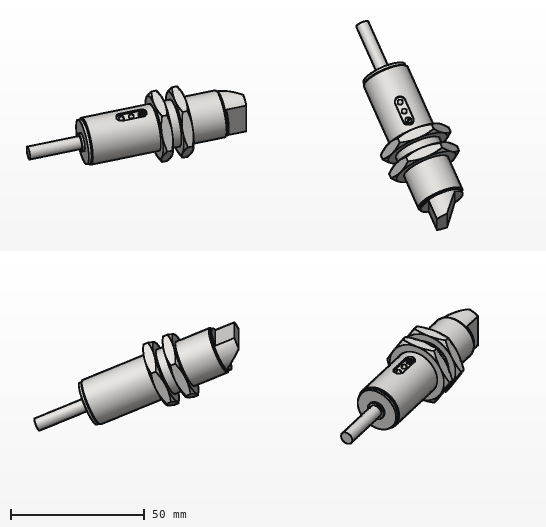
import cadquery as cq
import math

TOTAL_LENGTH = 83.5

BARREL_DIA = 18.0
BARREL_REAR_Y = 22.1
BARREL_FRONT_Y = 74.65
BARREL_REAR_CHAMFER = 0.4
INSERT_DIA = 17.0
GROOVE_DIA = 16.45
GROOVE_WIDTH = 0.5
REAR_INSERT_Y = 21.05

CABLE_DIA = 5.0
COLLAR_DIA = 7.0
COLLAR_REAR_Y = 20.1

HEAD_LEFT_X = -5.2
HEAD_TIP_LEFT_X = 1.1
HEAD_RIGHT_X = 5.2
LEFT_SHOULDER_Y = 76.15
RIGHT_SHOULDER_Y = 75.65

WINDOW_WIDTH = 4.0
WINDOW_FLOOR_Z = 8.0
SCREW_Y = 44.0
LAMP_COUNT = 2
LAMP_SPAN = 7.8
LAMP_PITCH = LAMP_SPAN / LAMP_COUNT
LAMP_DIA = 2.0
SCREW_DIA = 2.4
SCREW_RECESS_DEPTH = 0.1
SCREW_SLOT_DEPTH = 0.25
SCREW_SLOT_WIDTH = 0.4
SCREW_SLOT_ANGLE = 45.0

NUT_CORNERS = 27.7
NUT_FLATS = NUT_CORNERS * math.cos(math.radians(30))
NUT_WIDTH = 4.0
NUT_CHAMFER_ANGLE = 30.0
NUT_REAR_FACES_Y = (49.0, 57.0)


def cylinder_along_y(diameter, start_y, end_y):
    """Cylinder on the Y axis between two stations."""
    return (
        cq.Workplane("XZ", origin=(0, start_y, 0))
        .circle(diameter / 2)
        .extrude(start_y - end_y)
    )


def make_head():
    """Front insert cut to a wedge, standing on two shoulders of different height."""
    radius = INSERT_DIA / 2
    base_y = BARREL_FRONT_Y + GROOVE_WIDTH
    profile = (
        cq.Workplane("XY", origin=(0, 0, -radius))
        .polyline([
            (-radius, base_y),
            (-radius, LEFT_SHOULDER_Y),
            (HEAD_LEFT_X, LEFT_SHOULDER_Y),
            (HEAD_TIP_LEFT_X, TOTAL_LENGTH),
            (HEAD_RIGHT_X, TOTAL_LENGTH),
            (HEAD_RIGHT_X, RIGHT_SHOULDER_Y),
            (radius, RIGHT_SHOULDER_Y),
            (radius, base_y),
        ])
        .close()
        .extrude(INSERT_DIA)
    )
    return profile.intersect(cylinder_along_y(INSERT_DIA, base_y, TOTAL_LENGTH))


def make_window():
    """Rounded slot cut down to the flat window floor."""
    return (
        cq.Workplane("XY", origin=(0, SCREW_Y - LAMP_SPAN / 2, WINDOW_FLOOR_Z))
        .slot2D(LAMP_SPAN + WINDOW_WIDTH, WINDOW_WIDTH, 90)
        .extrude(BARREL_DIA / 2 - WINDOW_FLOOR_Z)
    )


def make_screw_recess():
    """Round recess in the window floor, with the driver slot across the screw at its bottom."""
    screw_z = WINDOW_FLOOR_Z - SCREW_RECESS_DEPTH
    recess = (
        cq.Workplane("XY", origin=(0, SCREW_Y, screw_z))
        .circle(SCREW_DIA / 2)
        .extrude(SCREW_RECESS_DEPTH)
    )
    driver_slot = (
        cq.Workplane("XY", origin=(0, SCREW_Y, screw_z))
        .transformed(rotate=(0, 0, SCREW_SLOT_ANGLE))
        .rect(SCREW_DIA, SCREW_SLOT_WIDTH)
        .extrude(-SCREW_SLOT_DEPTH)
    )
    screw_outline = (
        cq.Workplane("XY", origin=(0, SCREW_Y, screw_z))
        .circle(SCREW_DIA / 2)
        .extrude(-SCREW_SLOT_DEPTH)
    )
    return recess.union(driver_slot.intersect(screw_outline))


def make_sensor():
    """Barrel, inserts, head and cable as one solid."""
    barrel = (
        cylinder_along_y(BARREL_DIA, BARREL_REAR_Y, BARREL_FRONT_Y)
        .faces("<Y")
        .chamfer(BARREL_REAR_CHAMFER)
    )
    front_groove_end = BARREL_FRONT_Y + GROOVE_WIDTH
    sensor = (
        barrel
        .union(cylinder_along_y(GROOVE_DIA, BARREL_FRONT_Y, front_groove_end))
        .union(make_head())
        .union(cylinder_along_y(INSERT_DIA, REAR_INSERT_Y, BARREL_REAR_Y))
        .union(cylinder_along_y(COLLAR_DIA, COLLAR_REAR_Y, REAR_INSERT_Y))
        .union(cylinder_along_y(CABLE_DIA, 0, COLLAR_REAR_Y))
        .cut(make_window())
        .cut(make_screw_recess())
    )
    for index in range(1, LAMP_COUNT + 1):
        lamp_y = SCREW_Y - index * LAMP_PITCH
        lamp = cq.Workplane("XY", origin=(0, lamp_y, WINDOW_FLOOR_Z)).sphere(LAMP_DIA / 2)
        sensor = sensor.union(lamp)
    return sensor


def make_nut(rear_y):
    """Hexagonal nut with both faces turned to a cone at the corners."""
    corner_radius = NUT_CORNERS / 2
    face_radius = NUT_FLATS / 2
    chamfer = (corner_radius - face_radius) * math.tan(math.radians(NUT_CHAMFER_ANGLE))
    front_y = rear_y + NUT_WIDTH
    hexagon = (
        cq.Workplane("XZ", origin=(0, rear_y, 0))
        .polygon(6, NUT_CORNERS)
        .extrude(-NUT_WIDTH)
    )
    turned_blank = (
        cq.Workplane("XY")
        .polyline([
            (0, rear_y),
            (face_radius, rear_y),
            (corner_radius, rear_y + chamfer),
            (corner_radius, front_y - chamfer),
            (face_radius, front_y),
            (0, front_y),
        ])
        .close()
        .revolve(360, (0, 0, 0), (0, 1, 0))
    )
    bore = cylinder_along_y(BARREL_DIA, rear_y, front_y)
    return hexagon.intersect(turned_blank).cut(bore)


sensor = make_sensor()
nuts = [make_nut(rear_y) for rear_y in NUT_REAR_FACES_Y]

result = cq.Compound.makeCompound([sensor.val(), *[nut.val() for nut in nuts]])